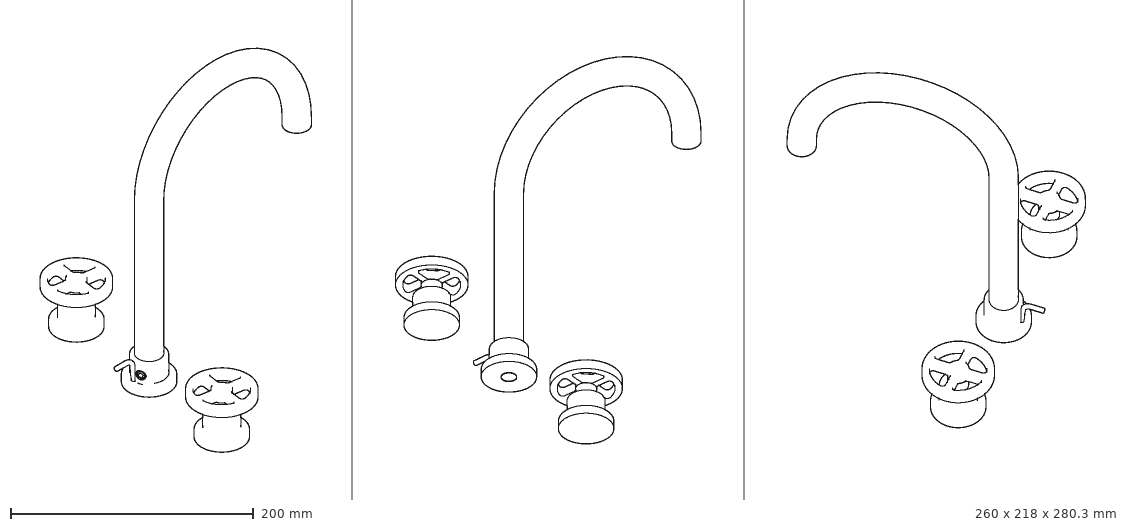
import cadquery as cq
import math

flange_bottom = 0.5
flange_top = 8.7
collar_top = 29.0
edge_fillet = 0.8

handle_spacing = 100.0
handle_flange_radius = 23.0
handle_collar_radius = 15.7

stem_radius = 8.7
hub_radius = 9.0
wheel_radius = 30.0
wheel_edge_fillet = 0.5
wheel_bottom = 40.0
wheel_thickness = 9.0
window_outer_radius = 23.8
window_corner_radius = 2.8
spoke_width = 6.2
spoke_count = 4

base_flange_radius = 23.0
base_collar_radius = 16.3
boss_radius = 6.5

screw_angle = 28
screw_height = 16.8
screw_radius = 4.5
screw_chamfer = 0.8
screw_recess = 0.8
screw_face_reach = base_collar_radius - screw_recess
screw_length = 6.2
screw_socket_sides = 6
screw_socket_size = 6.7
screw_socket_depth = 4.5

tube_diameter = 24.5
tube_radius = tube_diameter / 2
overall_height = 280.3
bend_radius = 85.8
bend_height = overall_height - bend_radius - tube_radius
outlet_length = 8.7
outlet_fillet = 0.8
spout_swing = 8

rod_radius = 2.2
rod_tip_fillet = 0.8
rod_foot_reach = 15.7
rod_rise = 14.3
rod_bend_radius = 6.7
rod_handle_length = 11.5
rod_lean = 5
rod_swing = 4


def disc(radius, bottom, top):
    return cq.Workplane("XY", origin=(0, 0, bottom)).circle(radius).extrude(top - bottom)


def stepped_base(flange_radius, collar_radius):
    """A flange with a narrower collar standing on it, its edges and inner corner rounded."""
    flange = disc(flange_radius, flange_bottom, flange_top)
    base = flange.union(disc(collar_radius, flange_top, collar_top))
    return base.faces("+Z").edges().fillet(edge_fillet)


def wheel_window():
    """One opening between two neighbouring spokes, the hub and the rim."""
    offset = spoke_width / 2
    inner = math.sqrt(hub_radius**2 - offset**2)
    outer = math.sqrt(window_outer_radius**2 - offset**2)
    diagonal = math.sqrt(0.5)
    hub_middle = hub_radius * diagonal
    rim_middle = window_outer_radius * diagonal
    return (
        cq.Workplane("XY", origin=(0, 0, wheel_bottom))
        .moveTo(inner, offset)
        .lineTo(outer, offset)
        .threePointArc((rim_middle, rim_middle), (offset, outer))
        .lineTo(offset, inner)
        .threePointArc((hub_middle, hub_middle), (inner, offset))
        .close()
        .extrude(wheel_thickness)
        .edges("|Z")
        .fillet(window_corner_radius)
    )


def handwheel():
    """A spoked wheel on a stem that stands on the handle collar."""
    wheel = disc(wheel_radius, wheel_bottom, wheel_bottom + wheel_thickness)
    for spoke in range(spoke_count):
        wheel = wheel.cut(wheel_window().rotate((0, 0, 0), (0, 0, 1), spoke * 360 / spoke_count))
    wheel = wheel.faces(">Z").edges().fillet(wheel_edge_fillet)
    return wheel.union(disc(stem_radius, collar_top, wheel_bottom))


def handle_base():
    return stepped_base(handle_flange_radius, handle_collar_radius)


def screw_plane(reach):
    """Plane facing outward along the screw axis, at a distance from the spout axis."""
    angle = math.radians(screw_angle)
    outward = cq.Vector(math.sin(angle), -math.cos(angle), 0)
    origin = outward * reach + cq.Vector(0, 0, screw_height)
    return cq.Plane(origin=origin, xDir=(0, 0, 1), normal=outward)


def set_screw():
    """A headless screw with a hexagon socket."""
    head = cq.Workplane(screw_plane(screw_face_reach)).circle(screw_radius).extrude(-screw_length)
    head = head.edges("<Y").chamfer(screw_chamfer)
    socket = cq.Workplane(screw_plane(screw_face_reach)).polygon(screw_socket_sides, screw_socket_size)
    return head.cut(socket.extrude(-screw_socket_depth))


def screw_hole():
    bottom_reach = screw_face_reach - screw_length
    return cq.Workplane(screw_plane(bottom_reach)).circle(screw_radius).extrude(base_collar_radius)


def lift_lever():
    """A bent rod, half sunk into the side of the base collar."""
    bend_end_reach = rod_foot_reach + rod_bend_radius
    bend_end_height = flange_top + rod_rise + rod_bend_radius
    bend_middle = rod_bend_radius * math.sqrt(0.5)
    path = (
        cq.Workplane("YZ")
        .moveTo(-rod_foot_reach, 0)
        .lineTo(-rod_foot_reach, flange_top + rod_rise)
        .threePointArc(
            (-bend_end_reach + bend_middle, flange_top + rod_rise + bend_middle),
            (-bend_end_reach, bend_end_height),
        )
        .lineTo(-bend_end_reach - rod_handle_length, bend_end_height)
    )
    rod = cq.Workplane("XY", origin=(0, -rod_foot_reach, 0)).circle(rod_radius).sweep(path)
    rod = rod.faces("<Y").edges().fillet(rod_tip_fillet)
    foot = (0, -rod_foot_reach, flange_top)
    rod = rod.rotate(foot, (1, -rod_foot_reach, flange_top), rod_lean)
    rod = rod.rotate(foot, (0, -rod_foot_reach, collar_top), rod_swing)
    return rod.cut(disc(base_flange_radius, -rod_radius, flange_top))


def spout_base(lever):
    """The central base, with a hole for the set screw and a groove for the lever."""
    base = stepped_base(base_flange_radius, base_collar_radius)
    base = base.union(disc(boss_radius, 0, flange_bottom))
    return base.cut(screw_hole()).cut(lever)


def spout():
    """A tube that rises from the base, bends through a half circle and points down."""
    outlet_end = bend_height - outlet_length
    path = (
        cq.Workplane("YZ")
        .moveTo(0, collar_top)
        .lineTo(0, bend_height)
        .threePointArc((bend_radius, bend_height + bend_radius), (2 * bend_radius, bend_height))
        .lineTo(2 * bend_radius, outlet_end)
    )
    tube = cq.Workplane("XY", origin=(0, 0, collar_top)).circle(tube_radius).sweep(path)
    outlet_face = cq.selectors.NearestToPointSelector((0, 2 * bend_radius, outlet_end))
    tube = tube.faces(outlet_face).edges().fillet(outlet_fillet)
    return tube.rotate((0, 0, 0), (0, 0, 1), spout_swing)


bodies = []
for side in (-1, 1):
    shift = (side * handle_spacing, 0, 0)
    bodies.append(handle_base().translate(shift).val())
    bodies.append(handwheel().translate(shift).val())

lift_rod = lift_lever()
bodies.append(spout_base(lift_rod).val())
bodies.append(set_screw().val())
bodies.append(lift_rod.val())
bodies.append(spout().val())

result = cq.Compound.makeCompound(bodies)